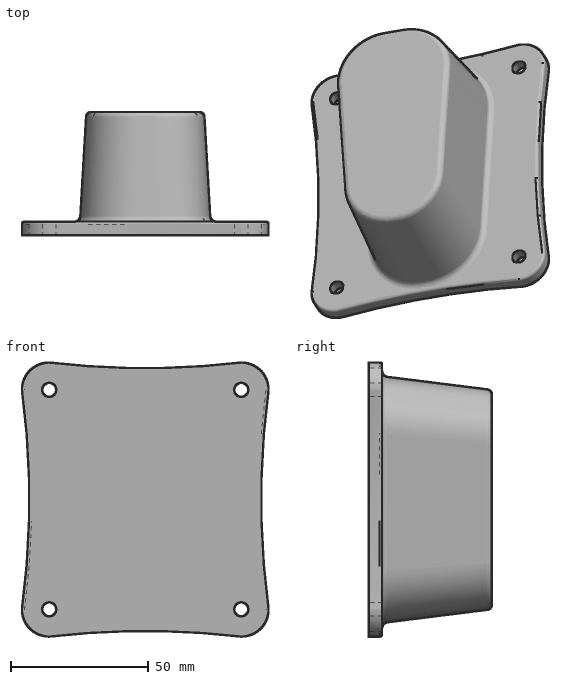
import cadquery as cq
import math

plate_width = 90.0
plate_height = 100.0
plate_thickness = 5.0
corner_radius = 10.0
side_radius = 300.0
plate_edge_round = 1.0
hole_diameter = 5.0

total_depth = 45.0
base_top_width = 50.0
base_bottom_width = 40.0
base_height = 90.0
base_corner_radius = 20.0
end_top_width = 45.4
end_bottom_width = 35.4
end_height = 80.0
end_corner_radius = 18.0
end_round = 2.0
root_fillet = 2.0
select_margin = 0.1

hole_x = plate_width / 2 - corner_radius
hole_z = plate_height / 2 - corner_radius


def bow_cutter(half_chord, chord_offset, turn):
    """Disc that hollows one side of the plate and rounds its outer edge.

    The disc passes through the two ends of a chord lying chord_offset from the
    plate centre, then turns about Y to reach its side.
    """
    centre_offset = chord_offset + math.sqrt(side_radius**2 - half_chord**2)
    round_start = plate_thickness - plate_edge_round
    inset = plate_edge_round * (1 - math.sqrt(0.5))
    disc = (
        cq.Workplane("XY")
        .lineTo(side_radius, 0)
        .lineTo(side_radius, round_start)
        .threePointArc(
            (side_radius + inset, plate_thickness - inset),
            (side_radius + plate_edge_round, plate_thickness),
        )
        .lineTo(0, plate_thickness)
        .close()
        .revolve(360, (0, 0, 0), (0, 1, 0))
    )
    return disc.translate((0, 0, centre_offset)).rotate((0, 0, 0), (0, 1, 0), turn)


def make_plate():
    plate = (
        cq.Workplane("XZ")
        .rect(plate_width, plate_height)
        .extrude(-plate_thickness)
        .edges("|Y")
        .fillet(corner_radius)
        .faces(">Y")
        .edges()
        .fillet(plate_edge_round)
    )
    for turn in (0, 180):
        plate = plate.cut(bow_cutter(hole_x, plate_height / 2, turn))
    for turn in (90, 270):
        plate = plate.cut(bow_cutter(hole_z, plate_width / 2, turn))
    return plate


def rounded_outline(top_width, bottom_width, height, radius):
    """Rounded trapezoid, symmetric about Z and wider at its upper end."""
    top = height / 2
    corners = [
        (-top_width / 2, top),
        (top_width / 2, top),
        (bottom_width / 2, -top),
        (-bottom_width / 2, -top),
    ]
    return cq.Sketch().polygon(corners + corners[:1]).vertices().fillet(radius)


def make_housing():
    base = rounded_outline(base_top_width, base_bottom_width, base_height, base_corner_radius)
    end = rounded_outline(end_top_width, end_bottom_width, end_height, end_corner_radius)
    rise = cq.Location(cq.Vector(0, 0, plate_thickness - total_depth))
    body = (
        cq.Workplane("XZ", origin=(0, plate_thickness, 0))
        .placeSketch(base, end.moved(rise))
        .loft()
    )
    return body.faces(">Y").edges().fillet(end_round)


def root_edges(body):
    """Closed edge where the housing meets the plate's outer face."""
    half_width = base_top_width / 2
    half_height = base_height / 2
    inside = cq.selectors.BoxSelector(
        (-half_width - select_margin, plate_thickness - select_margin, -half_height - select_margin),
        (half_width + select_margin, plate_thickness + select_margin, half_height + select_margin),
        boundingbox=True,
    )
    return body.edges(inside)


def make_holes():
    return (
        cq.Workplane("XZ")
        .rect(2 * hole_x, 2 * hole_z, forConstruction=True)
        .vertices()
        .circle(hole_diameter / 2)
        .extrude(-plate_thickness)
    )


body = make_plate().union(make_housing())
body = root_edges(body).fillet(root_fillet)
result = body.cut(make_holes())